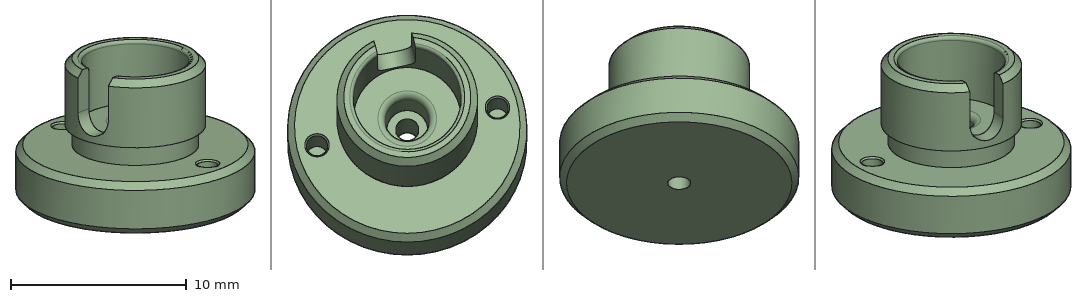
import cadquery as cq

flange_diameter = 13.6
flange_height = 3.1
edge_chamfer = 0.4

neck_diameter = 7.21
neck_height = 1.2
head_diameter = 8.0
total_height = 8.3
head_base = flange_height + neck_height

bore_diameter = 6.12
bore_floor = 4.5
rim_fillet = 0.2

well_top_diameter = 2.55
well_bottom_diameter = 2.31
well_depth = 2.0
well_mouth_fillet = 0.41
through_diameter = 1.3

slot_width = 2.2
slot_bottom = 4.7

pin_diameter = 1.2
pin_depth = 2.0
pin_offset = 5.25
pin_chamfer = 0.1


def disc(diameter, bottom, top):
    """Solid cylinder on the Z axis between two heights."""
    return cq.Workplane("XY").workplane(offset=bottom).circle(diameter / 2).extrude(top - bottom)


def make_body():
    flange = disc(flange_diameter, 0, flange_height).edges().chamfer(edge_chamfer)
    neck = disc(neck_diameter, 0, head_base)
    head = disc(head_diameter, head_base, total_height).faces(">Z").edges().chamfer(edge_chamfer)
    return flange.union(neck).union(head)


def cut_centre(body):
    body = body.cut(disc(bore_diameter, bore_floor, total_height))
    smallest_circle = cq.selectors.RadiusNthSelector(0)
    body = body.faces(">Z").edges(smallest_circle).fillet(rim_fillet)
    well = cq.Solid.makeCone(
        well_bottom_diameter / 2,
        well_top_diameter / 2,
        well_depth,
        pnt=cq.Vector(0, 0, bore_floor - well_depth),
    )
    body = body.cut(cq.Workplane(well))
    floor_face = cq.selectors.NearestToPointSelector((0, 0, bore_floor))
    body = body.faces("+Z").faces(floor_face).edges(smallest_circle).fillet(well_mouth_fillet)
    return body.cut(disc(through_diameter, 0, bore_floor))


def make_slot():
    slot_radius = slot_width / 2
    arc_centre = slot_bottom + slot_radius
    return (
        cq.Workplane("XZ")
        .moveTo(-slot_radius, total_height)
        .lineTo(-slot_radius, arc_centre)
        .threePointArc((0, slot_bottom), (slot_radius, arc_centre))
        .lineTo(slot_radius, total_height)
        .close()
        .extrude(head_diameter)
    )


def make_pin_hole(x):
    hole = disc(pin_diameter, flange_height - pin_depth, flange_height)
    countersink = cq.Solid.makeCone(
        pin_diameter / 2,
        pin_diameter / 2 + pin_chamfer,
        pin_chamfer,
        pnt=cq.Vector(0, 0, flange_height - pin_chamfer),
    )
    return hole.union(cq.Workplane(countersink)).translate((x, 0, 0))


result = cut_centre(make_body()).cut(make_slot())
for side in (-1, 1):
    result = result.cut(make_pin_hole(side * pin_offset))